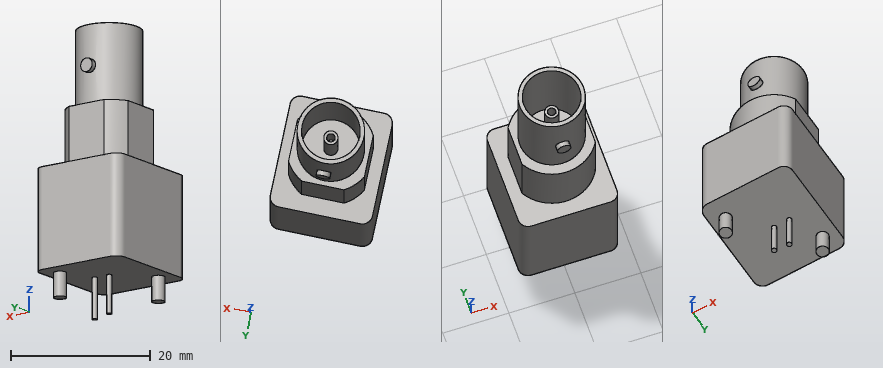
import cadquery as cq

total_height = 42.4
housing_width = 14.95
housing_depth = 16.57
housing_height = 15.3
housing_offset_y = -0.25
housing_corner_radius = 1.5

collar_radius = 6.35
collar_flat_distance = 5.55
collar_height = 9.05

barrel_radius = 4.85
barrel_wall = 0.65

contact_radius = 1.0
contact_hole_radius = 0.6
contact_height = 7.2
contact_hole_depth = 4.25

lug_diameter = 2.05
lug_reach = 5.55
lug_below_rim = 6.2

post_diameter = 1.9
post_length = 3.7
post_offset = 5.05

pin_diameter = 0.75
center_pin_length = 5.75
side_pin_length = 6.2
side_pin_x = 2.55

rim_z = total_height - side_pin_length
collar_top_z = housing_height + collar_height
barrel_height = rim_z - collar_top_z
bore_radius = barrel_radius - barrel_wall


def cylinder(radius, height, bottom_z, x=0, y=0):
    """Upright cylinder standing on the level bottom_z."""
    return cq.Workplane("XY", origin=(x, y, bottom_z)).circle(radius).extrude(height)


def make_housing():
    """Rectangular block with rounded vertical edges."""
    return (
        cq.Workplane("XY", origin=(0, housing_offset_y, 0))
        .rect(housing_width, housing_depth)
        .extrude(housing_height)
        .edges("|Z")
        .fillet(housing_corner_radius)
    )


def make_collar():
    """Round collar with flats on its -X, +X and +Y sides."""
    flats_depth = collar_radius + collar_flat_distance
    flats = (
        cq.Workplane("XY", origin=(0, collar_flat_distance - flats_depth / 2, housing_height))
        .rect(2 * collar_flat_distance, flats_depth)
        .extrude(collar_height)
    )
    return cylinder(collar_radius, collar_height, housing_height).intersect(flats)


def make_barrel():
    """Open barrel with two opposed bayonet lugs and a hollow center contact."""
    lugs = (
        cq.Workplane("XZ", origin=(0, 0, rim_z - lug_below_rim))
        .circle(lug_diameter / 2)
        .extrude(lug_reach, both=True)
    )
    contact_hole_z = collar_top_z + contact_height - contact_hole_depth
    return (
        cylinder(barrel_radius, barrel_height, collar_top_z)
        .union(lugs)
        .cut(cylinder(bore_radius, barrel_height, collar_top_z))
        .union(cylinder(contact_radius, contact_height, collar_top_z))
        .cut(cylinder(contact_hole_radius, contact_hole_depth, contact_hole_z))
    )


def make_leg(diameter, length, x, y):
    """Round leg hanging below the housing."""
    return cylinder(diameter / 2, length, -length, x, y)


result = make_housing().union(make_collar()).union(make_barrel())

for side in (-1, 1):
    result = result.union(make_leg(post_diameter, post_length, side * post_offset, side * post_offset))

for pin_x, pin_length in ((0, center_pin_length), (side_pin_x, side_pin_length)):
    result = result.union(make_leg(pin_diameter, pin_length, pin_x, 0))